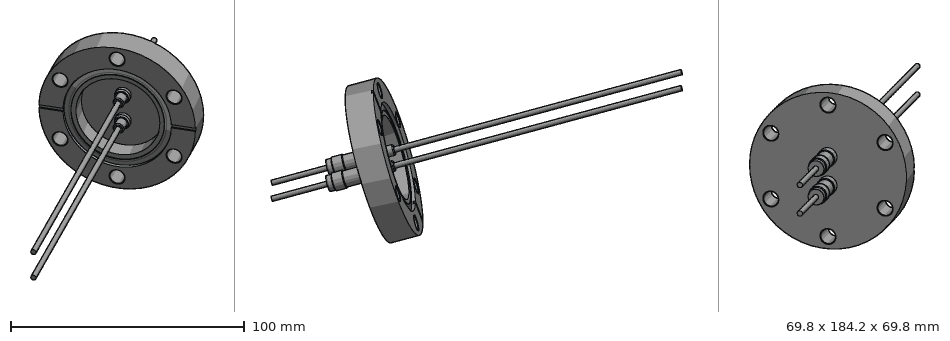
import math

import cadquery as cq

flange_diameter = 69.85
flange_thickness = 12.7
bore_diameter = 37.4
floor_thickness = 3.175
bore_depth = flange_thickness - floor_thickness

recess_diameter = 48.3
recess_floor_width = 0.2
shoulder_diameter = 43.7
knife_diameter = 41.7
knife_depth = 0.7
knife_land_depth = 1.2
outer_slope = 17
inner_slope = 15.5

bolt_count = 6
bolt_circle_diameter = 58.7
bolt_hole_diameter = 6.5
bolt_hole_chamfer = 0.3

groove_width = 1.6
groove_depth = 0.8

conductor_spacing = 12.7
conductor_diameter = 2.4
conductor_length = 184.15
conductor_front_length = 127.4

back_body_radius = 3.6
back_ring_radius = 4.0
back_sleeve_length = 4.2
back_ring_start = 11.1
back_ring_end = 16.4
back_length = 18.8
back_tip_radial_chamfer = 0.1
back_tip_axial_chamfer = 0.5

front_sleeve_radius = 3.5
front_sleeve_length = 2.6
front_body_radius = 2.4
front_length = 7.9
front_sleeve_radial_chamfer = 0.5
front_sleeve_axial_chamfer = 0.9
front_tip_chamfer = 0.5


def cylinder_y(radius, start, end):
    """Cylinder about the Y axis between two Y positions."""
    base = cq.Vector(0, start, 0)
    return cq.Workplane(cq.Solid.makeCylinder(radius, end - start, base, cq.Vector(0, 1, 0)))


def turned(profile):
    """Solid turned about the Y axis from (radius, Y) points."""
    return cq.Workplane("XY").polyline(profile).close().revolve(360, (0, 0, 0), (0, 1, 0))


def flange_body():
    """Flange with its knife-edge recess and blind bore."""
    bore = bore_diameter / 2
    knife = knife_diameter / 2
    shoulder = shoulder_diameter / 2
    recess = recess_diameter / 2
    cone_foot = recess - recess_floor_width
    rim = flange_diameter / 2
    shoulder_depth = knife_depth + (shoulder - knife) * math.tan(math.radians(inner_slope))
    recess_depth = shoulder_depth + (cone_foot - shoulder) * math.tan(math.radians(outer_slope))
    return turned([
        (0, bore_depth),
        (bore, bore_depth),
        (bore, knife_land_depth),
        (knife, knife_land_depth),
        (knife, knife_depth),
        (shoulder, shoulder_depth),
        (cone_foot, recess_depth),
        (recess, recess_depth),
        (recess, 0),
        (rim, 0),
        (rim, flange_thickness),
        (0, flange_thickness),
    ])


def bolt_holes():
    """Cutters for the through holes, flared at both ends by the edge chamfer."""
    radius = bolt_hole_diameter / 2
    mouth = radius + bolt_hole_chamfer
    cutter = turned([
        (0, 0),
        (mouth, 0),
        (radius, bolt_hole_chamfer),
        (radius, flange_thickness - bolt_hole_chamfer),
        (mouth, flange_thickness),
        (0, flange_thickness),
    ]).translate((0, 0, bolt_circle_diameter / 2))
    holes = cq.Workplane()
    for i in range(bolt_count):
        holes = holes.add(cutter.rotate((0, 0, 0), (0, 1, 0), i * 360 / bolt_count))
    return holes.combine()


def leak_check_grooves():
    """Straight grooves from the rim to the recess, on both sides."""
    bar = cq.Workplane("XY").box(flange_diameter, 2 * groove_depth, groove_width)
    return bar.cut(cylinder_y(recess_diameter / 2, -groove_depth, groove_depth))


def back_insulator():
    """Stepped insulator behind the flange, with 45 degree steps between its diameters."""
    body = back_body_radius
    ring = back_ring_radius
    step = ring - body
    profile = [
        (0, -floor_thickness / 2),
        (ring, -floor_thickness / 2),
        (ring, back_sleeve_length - step),
        (body, back_sleeve_length),
        (body, back_ring_start),
        (ring, back_ring_start + step),
        (ring, back_ring_end - step),
        (body, back_ring_end),
        (body, back_length - back_tip_axial_chamfer),
        (body - back_tip_radial_chamfer, back_length),
        (0, back_length),
    ]
    return turned(profile).translate((0, flange_thickness, 0))


def front_insulator():
    """Stepped insulator standing on the bore floor, pointing toward -Y."""
    sleeve = front_sleeve_radius
    body = front_body_radius
    profile = [
        (0, floor_thickness / 2),
        (sleeve, floor_thickness / 2),
        (sleeve, front_sleeve_axial_chamfer - front_sleeve_length),
        (sleeve - front_sleeve_radial_chamfer, -front_sleeve_length),
        (body, -front_sleeve_length),
        (body, front_tip_chamfer - front_length),
        (body - front_tip_chamfer, -front_length),
        (0, -front_length),
    ]
    return turned(profile).translate((0, bore_depth, 0))


def feedthrough():
    """Conductor rod with the insulators on both sides of the floor."""
    rod_start = -conductor_front_length
    rod = cylinder_y(conductor_diameter / 2, rod_start, rod_start + conductor_length)
    return rod.union(back_insulator()).union(front_insulator())


result = flange_body().cut(bolt_holes()).cut(leak_check_grooves())
for side in (1, -1):
    result = result.union(feedthrough().translate((0, 0, side * conductor_spacing / 2)))